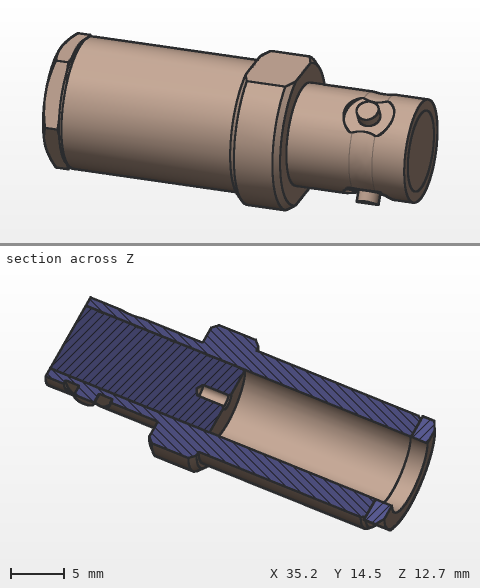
import cadquery as cq
import math

TOTAL_LENGTH = 35.18
BORE_RADIUS = 3.8

NUT_LENGTH = 1.72
NUT_ACROSS_FLATS = 10.98
NUT_FACE_RADIUS = 5.45
NUT_CHAMFER_ANGLE = 30.0

SLEEVE_RADIUS = 6.23
SLEEVE_CHAMFER_LENGTH = 0.35
SLEEVE_CHAMFER_DROP = 0.28
COLLAR_START = 18.75
COLLAR_END = 23.65
COLLAR_RADIUS = 7.25
COLLAR_CHAMFER = 0.55
COLLAR_ACROSS_FLATS = 12.7
BARREL_RADIUS = 4.85

LUG_X = 30.9
LUG_COUNT = 3
LUG_FIRST_ANGLE = 90.0
LUG_RADIUS = 2.08 / 2
LUG_TIP_RADIUS = 5.52
RECESS_RADIUS = 2.4
RECESS_FLOOR = 4.45
GROOVE_HALF_WIDTH = 1.13
GROOVE_DEPTH = 0.1

CORE_START = COLLAR_START
WIRE_HOLE_RADIUS = 1.23 / 2
WIRE_HOLE_DEPTH = 2.8
WIRE_HOLE_CHAMFER = 0.2
DRILL_POINT_ANGLE = 118.0


def revolve_about_x(profile):
    """Turn a closed (X, radius) profile a full circle about the X axis."""
    return profile.close().revolve(360, (0, 0, 0), (1, 0, 0))


def rod(start, end, radius):
    """Solid cylinder along the X axis."""
    return cq.Workplane("YZ", origin=(start, 0, 0)).circle(radius).extrude(end - start)


def radial_cylinder(radius, inner, outer, angle):
    """Cylinder pointing away from the X axis at the lug station."""
    cylinder = cq.Workplane("XY", origin=(LUG_X, 0, inner)).circle(radius).extrude(outer - inner)
    return cylinder.rotate((0, 0, 0), (1, 0, 0), -angle)


def make_nut():
    """Hexagonal ring with its corners chamfered at the cable end."""
    corner_radius = NUT_ACROSS_FLATS / math.sqrt(3)
    chamfer_length = (corner_radius - NUT_FACE_RADIUS) * math.tan(math.radians(NUT_CHAMFER_ANGLE))
    hexagon = cq.Workplane("YZ").polygon(6, 2 * corner_radius).extrude(NUT_LENGTH)
    envelope = revolve_about_x(
        cq.Workplane("XZ")
        .moveTo(0, 0)
        .lineTo(0, NUT_FACE_RADIUS)
        .lineTo(chamfer_length, corner_radius)
        .lineTo(NUT_LENGTH, corner_radius)
        .lineTo(NUT_LENGTH, 0)
    )
    return hexagon.intersect(envelope).cut(rod(0, NUT_LENGTH, BORE_RADIUS))


def make_shell_blank():
    """Turned outside of the shell, including the shallow round-bottomed groove."""
    return revolve_about_x(
        cq.Workplane("XZ")
        .moveTo(NUT_LENGTH, BORE_RADIUS)
        .lineTo(NUT_LENGTH, SLEEVE_RADIUS - SLEEVE_CHAMFER_DROP)
        .lineTo(NUT_LENGTH + SLEEVE_CHAMFER_LENGTH, SLEEVE_RADIUS)
        .lineTo(COLLAR_START, SLEEVE_RADIUS)
        .lineTo(COLLAR_START, COLLAR_RADIUS - COLLAR_CHAMFER)
        .lineTo(COLLAR_START + COLLAR_CHAMFER, COLLAR_RADIUS)
        .lineTo(COLLAR_END - COLLAR_CHAMFER, COLLAR_RADIUS)
        .lineTo(COLLAR_END, COLLAR_RADIUS - COLLAR_CHAMFER)
        .lineTo(COLLAR_END, BARREL_RADIUS)
        .lineTo(LUG_X - GROOVE_HALF_WIDTH, BARREL_RADIUS)
        .threePointArc(
            (LUG_X, BARREL_RADIUS - GROOVE_DEPTH),
            (LUG_X + GROOVE_HALF_WIDTH, BARREL_RADIUS),
        )
        .lineTo(TOTAL_LENGTH, BARREL_RADIUS)
        .lineTo(TOTAL_LENGTH, BORE_RADIUS)
    )


def cut_collar_flats(shell):
    """Trim the collar to two wrench flats facing +Z and -Z."""
    slab = cq.Workplane("XY").box(2 * TOTAL_LENGTH, 2 * COLLAR_RADIUS, COLLAR_ACROSS_FLATS)
    return shell.intersect(slab)


def add_lugs(shell):
    """Add the bayonet lugs, each standing in a flat-floored round recess."""
    tip_envelope = rod(COLLAR_END, TOTAL_LENGTH, LUG_TIP_RADIUS)
    lug_root = (BORE_RADIUS + RECESS_FLOOR) / 2
    for index in range(LUG_COUNT):
        angle = LUG_FIRST_ANGLE + index * 360 / LUG_COUNT
        recess = radial_cylinder(RECESS_RADIUS, RECESS_FLOOR, COLLAR_RADIUS, angle)
        lug = radial_cylinder(LUG_RADIUS, lug_root, COLLAR_RADIUS, angle).intersect(tip_envelope)
        shell = shell.cut(recess).union(lug)
    return shell


def make_shell():
    """Hollow shell with its wrench flats and bayonet lugs."""
    return add_lugs(cut_collar_flats(make_shell_blank()))


def make_core():
    """Rod with a chamfered, drill-pointed wire hole in its cable end."""
    hole_end = CORE_START + WIRE_HOLE_DEPTH
    point_length = WIRE_HOLE_RADIUS / math.tan(math.radians(DRILL_POINT_ANGLE / 2))
    wire_hole = revolve_about_x(
        cq.Workplane("XZ")
        .moveTo(CORE_START, 0)
        .lineTo(CORE_START, WIRE_HOLE_RADIUS + WIRE_HOLE_CHAMFER)
        .lineTo(CORE_START + WIRE_HOLE_CHAMFER, WIRE_HOLE_RADIUS)
        .lineTo(hole_end, WIRE_HOLE_RADIUS)
        .lineTo(hole_end + point_length, 0)
    )
    return rod(CORE_START, TOTAL_LENGTH, BORE_RADIUS).cut(wire_hole)


nut = make_nut()
shell = make_shell()
core = make_core()

result = cq.Compound.makeCompound([nut.solids().val(), shell.solids().val(), core.solids().val()])